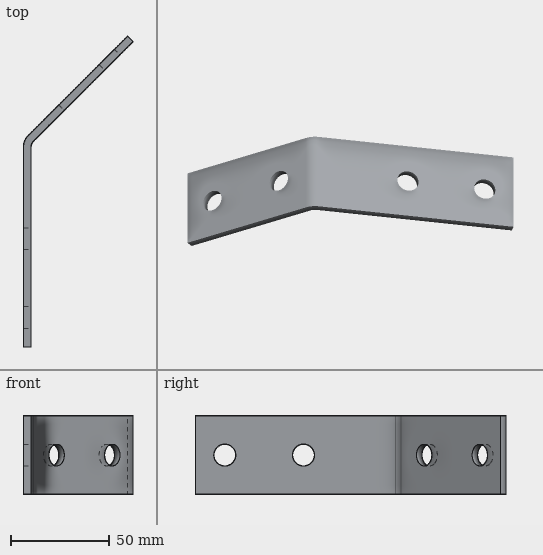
import cadquery as cq
import math

bar_width = 40.0
thickness = 4.0
long_leg = 105.0
short_leg = 75.0
bend_angle = 45.0
outer_bend_radius = 8.0

hole_diameter = 11.0
end_to_first_hole = 15.0
end_to_second_hole = 55.0

inner_bend_radius = outer_bend_radius - thickness
bend_setback = outer_bend_radius * math.tan(math.radians(bend_angle / 2))

bend_center = cq.Vector(outer_bend_radius, -bend_setback, 0)
long_leg_direction = cq.Vector(0, -1, 0)
long_leg_inward = cq.Vector(1, 0, 0)


def turn(vector, angle):
    """Rotate a vector clockwise about Z by an angle in degrees."""
    a = math.radians(angle)
    return cq.Vector(
        vector.x * math.cos(a) + vector.y * math.sin(a),
        vector.y * math.cos(a) - vector.x * math.sin(a),
        0,
    )


short_leg_direction = turn(cq.Vector(0, 1, 0), bend_angle)
short_leg_inward = turn(long_leg_inward, bend_angle)


def bend_point(radius, angle):
    """Point on the bend, at an angle swept from the long leg."""
    return (bend_center - turn(long_leg_inward, angle) * radius).toTuple()[:2]


def make_bent_bar():
    long_end = long_leg_direction * long_leg
    short_end = short_leg_direction * short_leg
    long_end_inner = long_end + long_leg_inward * thickness
    short_end_inner = short_end + short_leg_inward * thickness
    return (
        cq.Workplane("XY")
        .moveTo(long_end.x, long_end.y)
        .lineTo(*bend_point(outer_bend_radius, 0))
        .threePointArc(
            bend_point(outer_bend_radius, bend_angle / 2),
            bend_point(outer_bend_radius, bend_angle),
        )
        .lineTo(short_end.x, short_end.y)
        .lineTo(short_end_inner.x, short_end_inner.y)
        .lineTo(*bend_point(inner_bend_radius, bend_angle))
        .threePointArc(
            bend_point(inner_bend_radius, bend_angle / 2),
            bend_point(inner_bend_radius, 0),
        )
        .lineTo(long_end_inner.x, long_end_inner.y)
        .close()
        .extrude(bar_width)
    )


def make_leg_holes(leg_length, direction, inward):
    """Cutting cylinders through one leg, square to its faces."""
    mid_width = cq.Vector(0, 0, bar_width / 2)
    holes = cq.Workplane("XY")
    for end_distance in (end_to_first_hole, end_to_second_hole):
        start = direction * (leg_length - end_distance) + mid_width
        holes = holes.add(cq.Solid.makeCylinder(hole_diameter / 2, thickness, start, inward))
    return holes.combine()


result = (
    make_bent_bar()
    .cut(make_leg_holes(long_leg, long_leg_direction, long_leg_inward))
    .cut(make_leg_holes(short_leg, short_leg_direction, short_leg_inward))
)